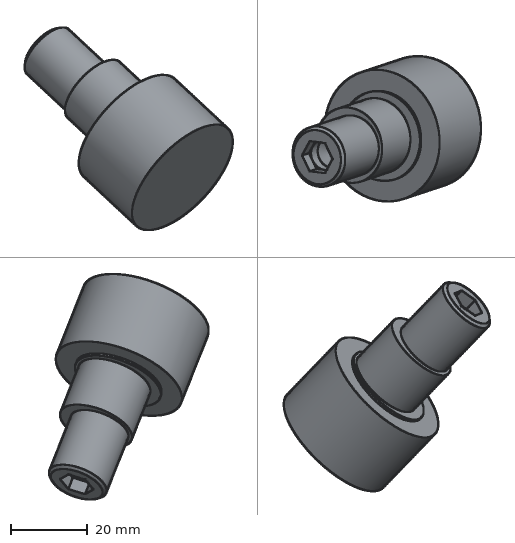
import cadquery as cq
import math

total_length = 54.5
roller_diameter = 35.0
roller_length = 21.25
washer_diameter = 23.8
washer_thickness = 0.7
collar_diameter = 20.0
collar_length = 14.5
collar_offset = 1.0
stud_diameter = 16.0
stud_chamfer = 0.8

socket_across_flats = 8.0
socket_depth = 3.6
bore_depth = 7.0
drill_point_angle = 120.0

roller_start = total_length - roller_length
washer_start = roller_start - washer_thickness
collar_start = washer_start - collar_length
socket_across_corners = socket_across_flats / math.cos(math.radians(30))


def cylinder(diameter, start, length, y_offset=0.0):
    """Solid cylinder along +X, beginning at X = start."""
    return (
        cq.Workplane("YZ", origin=(start, y_offset, 0))
        .circle(diameter / 2)
        .extrude(length)
    )


def hex_socket():
    """Cutter for the hexagon, corners on the Y axis, and the drilled bore behind it."""
    hexagon = cq.Workplane("YZ").polygon(6, socket_across_corners).extrude(socket_depth)
    bore = cylinder(socket_across_flats, 0, bore_depth)
    bore_radius = socket_across_flats / 2
    point_depth = bore_radius / math.tan(math.radians(drill_point_angle / 2))
    drill_point = cq.Workplane(
        cq.Solid.makeCone(
            bore_radius,
            0,
            point_depth,
            cq.Vector(bore_depth, 0, 0),
            cq.Vector(1, 0, 0),
        )
    )
    return hexagon.union(bore).union(drill_point)


stud = cylinder(stud_diameter, 0, collar_start).faces("<X").chamfer(stud_chamfer)
collar = cylinder(collar_diameter, collar_start, collar_length, collar_offset)
washer = cylinder(washer_diameter, washer_start, washer_thickness)
roller = cylinder(roller_diameter, roller_start, roller_length)

result = stud.union(collar).union(washer).union(roller).cut(hex_socket())